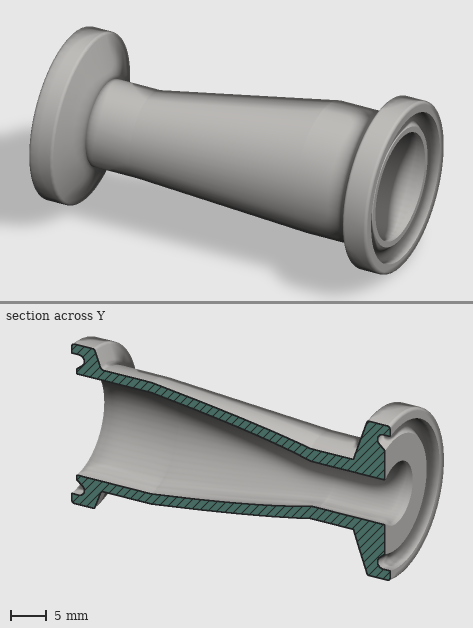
import cadquery as cq
import math


total_length = 50.8
transition_start = 12.7
transition_end = 38.1
transition_length = transition_end - transition_start

small_outer_diameter = 12.7
small_bore_diameter = 9.4
large_outer_diameter = 19.05
large_bore_diameter = 15.75
axis_offset = (large_outer_diameter - small_outer_diameter) / 2

flange_radius = 25.0 / 2
rim_width = 3.65
rim_rounding = 0.45
back_angle = math.radians(20)
large_root_fillet = 0.45

groove_outer_radius = 21.9 / 2
recess_face_radius = 8.7
recess_depth = 0.8
groove_arc_radius = 0.85
groove_wall_angle = math.radians(50)


def revolve_about_x(profile):
    """Turn a profile in (distance from face, radius) about the X axis."""
    return profile.close().revolve(360, (0, 0, 0), (1, 0, 0))


def flange_depth(tube_diameter):
    """Distance from the face to where the conical back meets the tube."""
    return rim_width + (flange_radius - tube_diameter / 2) * math.tan(back_angle)


def flange(tube_diameter):
    """Round-edged rim with a conical back running down to the tube."""
    tube_radius = tube_diameter / 2
    cone_end = flange_depth(tube_diameter)
    profile = (
        cq.Workplane("XY")
        .lineTo(0, flange_radius)
        .lineTo(rim_width, flange_radius)
        .lineTo(cone_end, tube_radius)
        .lineTo(cone_end, 0)
    )
    rim_edges = cq.selectors.RadiusNthSelector(-1)
    return revolve_about_x(profile).edges("%CIRCLE").edges(rim_edges).fillet(rim_rounding)


def face_recess():
    """Sunken centre of the face, ringed by a round-bottomed groove with a sloping inner wall."""
    arc_centre_radius = groove_outer_radius - groove_arc_radius
    wall_end_radius = arc_centre_radius - groove_arc_radius * math.sin(groove_wall_angle)
    wall_end_x = recess_depth + (wall_end_radius - recess_face_radius) * math.tan(groove_wall_angle)
    arc_centre_x = wall_end_x - groove_arc_radius * math.cos(groove_wall_angle)
    profile = (
        cq.Workplane("XY")
        .lineTo(0, groove_outer_radius)
        .lineTo(arc_centre_x, groove_outer_radius)
        .threePointArc(
            (arc_centre_x + groove_arc_radius, arc_centre_radius),
            (wall_end_x, wall_end_radius),
        )
        .lineTo(recess_depth, recess_face_radius)
        .lineTo(recess_depth, 0)
    )
    return revolve_about_x(profile)


def ferrule(tube_diameter, tube_length):
    """Grooved flange at X = 0 with a solid tube stub behind it."""
    stub = cq.Workplane("YZ").circle(tube_diameter / 2).extrude(tube_length)
    return flange(tube_diameter).union(stub).cut(face_recess())


def transition(small_diameter, large_diameter):
    """Straight-sided loft between the two offset circles."""
    return (
        cq.Workplane("YZ", origin=(transition_start, 0, 0))
        .circle(small_diameter / 2)
        .workplane(offset=transition_length)
        .center(axis_offset, 0)
        .circle(large_diameter / 2)
        .loft(ruled=True)
    )


def at_large_end(body):
    """Turn a body built at the small end round onto the large end."""
    return body.rotate((0, 0, 0), (0, 0, 1), 180).translate((total_length, axis_offset, 0))


def bore():
    """Through passage: straight at both ends, tapering in between."""
    small = cq.Workplane("YZ").circle(small_bore_diameter / 2).extrude(transition_start)
    large = cq.Workplane("YZ").circle(large_bore_diameter / 2).extrude(total_length - transition_end)
    return small.union(transition(small_bore_diameter, large_bore_diameter)).union(at_large_end(large))


def round_root(body, tube_diameter, radius):
    """Fillet the corner between the conical back and the tube."""
    root_x = flange_depth(tube_diameter)
    near_root = cq.selectors.BoxSelector(
        (root_x - radius, -flange_radius, -flange_radius),
        (root_x + radius, flange_radius, flange_radius),
    )
    return body.edges("%CIRCLE").edges(near_root).fillet(radius)


small_end = ferrule(small_outer_diameter, transition_start)
large_ferrule = ferrule(large_outer_diameter, total_length - transition_end)
large_end = at_large_end(round_root(large_ferrule, large_outer_diameter, large_root_fillet))
outside = small_end.union(transition(small_outer_diameter, large_outer_diameter)).union(large_end)
result = outside.cut(bore())